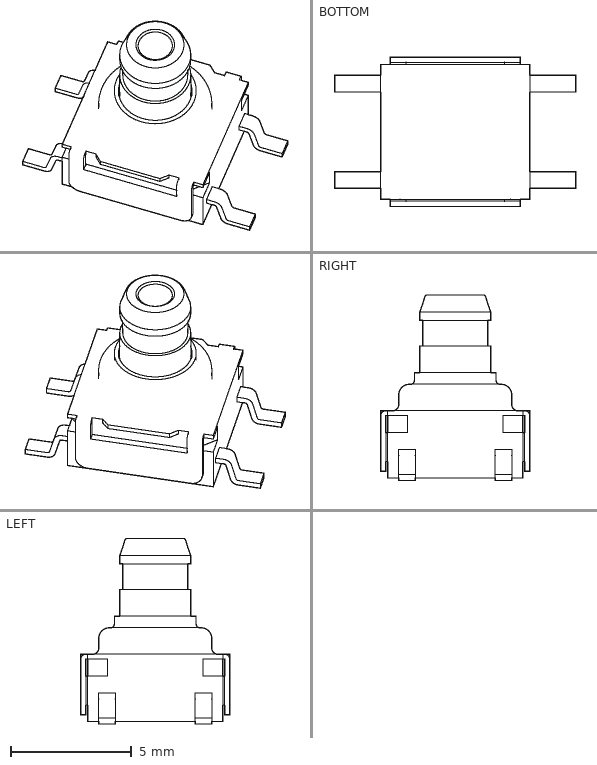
import cadquery as cq
import math

lead_span = 10.0
housing_size = 6.2
overall_height = 7.7

base_bottom = 0.1
base_top = 1.99
base_depth = 5.6
shoulder_cut = 0.82

plate_top = 2.9
plate_bottom = 2.7
clip_thickness = 0.22
clip_width = 5.4
clip_bottom = 0.38
clip_corner_radius = 0.5
window_width = 4.1
window_bottom = 0.79
notch_run = 0.44

lead_width = 0.7
lead_pitch = 4.0
lead_thickness = 0.25
lead_top = 1.29
lead_tilt = math.radians(15)
lead_slope_x = 3.75
lead_inner_bend = 0.1
lead_embed = 0.2

boot_radius = 4.7 / 2
boot_flare = 0.25
boot_round = 0.45
boot_top = 4.0
collar_radius = 3.4 / 2
collar_bore_radius = 3.05 / 2
collar_flare = 0.15
collar_top = 4.48

stem_radius = 2.95 / 2
neck_radius = 2.7 / 2
neck_bottom = 5.59
neck_top = 6.65
head_taper_start = 7.0
tip_radius = 1.27
tip_round = 0.08
recess_radius = 0.8
recess_floor_radius = 0.71
recess_depth = 0.07


def box_between(width, depth, bottom, top):
    """Box centred on the Z axis, spanning bottom to top."""
    return cq.Workplane("XY").workplane(offset=bottom).rect(width, depth).extrude(top - bottom)


def make_housing():
    base = box_between(housing_size, base_depth, base_bottom, base_top)
    shoulder = box_between(housing_size, base_depth, base_top, plate_bottom)
    shoulder = shoulder.edges("|Z").chamfer(shoulder_cut)
    pads = box_between(window_width, housing_size, window_bottom, base_top)
    return base.union(shoulder, clean=False).union(pads, clean=False)


def make_cover():
    half_size = housing_size / 2
    notch_depth = (housing_size - base_depth) / 2

    plate = box_between(housing_size, base_depth, plate_bottom, plate_top)
    cover = box_between(clip_width, housing_size, clip_bottom, plate_top)
    cover = cover.edges("|Y and <Z").fillet(clip_corner_radius)
    cover = cover.edges("|X and >Z").fillet(clip_thickness)
    inside = box_between(clip_width, housing_size - 2 * clip_thickness, clip_bottom, plate_bottom)
    window = box_between(window_width, housing_size, window_bottom, plate_top)
    cover = cover.cut(inside).cut(window)

    tongue_root = window_width / 2 - notch_run
    tongue_tip = tongue_root - notch_depth
    tongue = (
        cq.Workplane("XY")
        .workplane(offset=plate_bottom)
        .polyline([
            (-tongue_tip, -half_size),
            (tongue_tip, -half_size),
            (tongue_root, -base_depth / 2),
            (tongue_root, base_depth / 2),
            (tongue_tip, half_size),
            (-tongue_tip, half_size),
            (-tongue_root, base_depth / 2),
            (-tongue_root, -base_depth / 2),
        ])
        .close()
        .extrude(plate_top - plate_bottom)
    )
    return cover.union(plate).union(tongue)


def make_lead():
    """Gull-wing lead on the +X side, centred on Y = 0."""
    half_thickness = lead_thickness / 2
    upper_mid = lead_top - half_thickness
    lower_mid = half_thickness
    slope_mid = (upper_mid + lower_mid) / 2
    slope_half = half_thickness / math.cos(lead_tilt)

    def slope_x(z, side):
        return lead_slope_x + side * slope_half + (slope_mid - z) * math.tan(lead_tilt)

    start = housing_size / 2 - lead_embed
    end = lead_span / 2
    inner_top = lead_top - lead_thickness
    outer_bend = lead_inner_bend + lead_thickness
    upper_outer = (slope_x(lead_top, 1), lead_top)
    lower_inner = (slope_x(lead_thickness, 1), lead_thickness)
    lower_outer = (slope_x(0, -1), 0)
    upper_inner = (slope_x(inner_top, -1), inner_top)
    lead = (
        cq.Workplane("XZ")
        .polyline([
            (start, lead_top),
            upper_outer,
            lower_inner,
            (end, lead_thickness),
            (end, 0),
            lower_outer,
            upper_inner,
            (start, inner_top),
        ])
        .close()
        .extrude(lead_width / 2, both=True)
    )
    bends = (
        (upper_outer, outer_bend),
        (lower_inner, lead_inner_bend),
        (lower_outer, outer_bend),
        (upper_inner, lead_inner_bend),
    )
    for (x, z), radius in bends:
        lead = lead.edges(cq.NearestToPointSelector((x, 0, z))).fillet(radius)
    return lead


def make_boot():
    """Domed boot with flared foot and a collar that clears the stem."""
    arc_mid = 1 - math.sqrt(0.5)
    profile = (
        cq.Workplane("XZ")
        .moveTo(0, plate_bottom)
        .lineTo(boot_radius + boot_flare, plate_bottom)
        .lineTo(boot_radius + boot_flare, plate_top)
        .threePointArc(
            (boot_radius + boot_flare * arc_mid, plate_top + boot_flare * arc_mid),
            (boot_radius, plate_top + boot_flare),
        )
        .lineTo(boot_radius, boot_top - boot_round)
        .threePointArc(
            (boot_radius - boot_round * arc_mid, boot_top - boot_round * arc_mid),
            (boot_radius - boot_round, boot_top),
        )
        .lineTo(collar_radius + collar_flare, boot_top)
        .threePointArc(
            (collar_radius + collar_flare * arc_mid, boot_top + collar_flare * arc_mid),
            (collar_radius, boot_top + collar_flare),
        )
        .lineTo(collar_radius, collar_top)
        .lineTo(collar_bore_radius, collar_top)
        .lineTo(collar_bore_radius, boot_top)
        .lineTo(0, boot_top)
        .close()
    )
    return profile.revolve(360, (0, 0), (0, 1))


def make_stem():
    recess_floor = overall_height - recess_depth
    profile = (
        cq.Workplane("XZ")
        .moveTo(0, plate_top)
        .lineTo(stem_radius, plate_top)
        .lineTo(stem_radius, neck_bottom)
        .lineTo(neck_radius, neck_bottom)
        .lineTo(neck_radius, neck_top)
        .lineTo(stem_radius, neck_top)
        .lineTo(stem_radius, head_taper_start)
        .lineTo(tip_radius, overall_height - tip_round)
        .tangentArcPoint((tip_radius - tip_round, overall_height), relative=False)
        .lineTo(recess_radius, overall_height)
        .lineTo(recess_floor_radius, recess_floor)
        .lineTo(0, recess_floor)
        .close()
    )
    return profile.revolve(360, (0, 0), (0, 1))


right_lead = make_lead()
left_lead = right_lead.mirror("YZ")
pieces = [make_cover(), make_boot(), make_stem()]
for y in (-lead_pitch / 2, lead_pitch / 2):
    for lead in (left_lead, right_lead):
        pieces.append(lead.translate((0, y, 0)))

result = make_housing()
for piece in pieces:
    result = result.union(piece, clean=False)